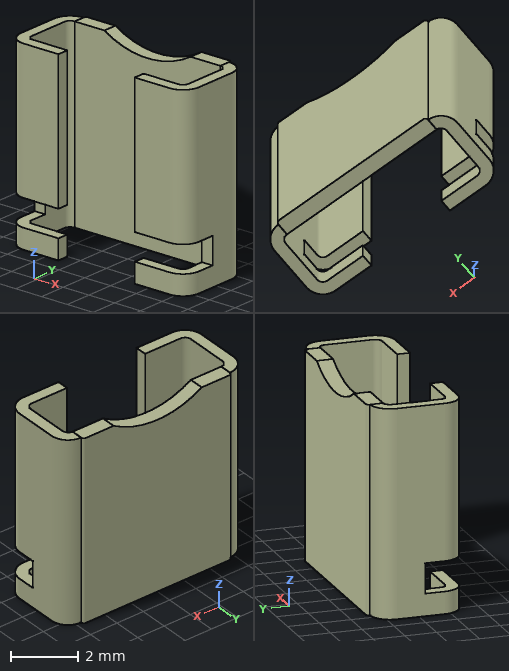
import cadquery as cq
import math

WIDTH = 6.91
DEPTH = 2.88
HEIGHT = 6.6

WALL = 0.415
BEND_RADIUS = 0.63
LIP_GAP = 2.96
SLOT_BOTTOM = 0.71
SLOT_TOP = 1.66
SLOT_DEPTH = 1.25

PLATE_STEP = 0.105
PLATE_CORNER_RADIUS = 0.1
SCOOP_WIDTH = 3.345
SCOOP_DEPTH = 0.47

FRONT_Y = -DEPTH / 2
PLATE_BACK_Y = DEPTH / 2
HOOK_BACK_Y = PLATE_BACK_Y - PLATE_STEP
PLATE_FRONT_Y = HOOK_BACK_Y - WALL
PLATE_HALF_WIDTH = WIDTH / 2 - BEND_RADIUS
INNER_RADIUS = BEND_RADIUS - WALL


def make_back_plate():
    """Flat plate with rounded rear edges and a shallow arc cut into its top."""
    plate = (
        cq.Workplane("XY")
        .center(0, (PLATE_FRONT_Y + PLATE_BACK_Y) / 2)
        .rect(2 * PLATE_HALF_WIDTH, PLATE_BACK_Y - PLATE_FRONT_Y)
        .extrude(HEIGHT)
        .edges("|Z and >Y")
        .fillet(PLATE_CORNER_RADIUS)
    )
    scoop = (
        cq.Workplane("XZ")
        .moveTo(-SCOOP_WIDTH / 2, HEIGHT)
        .threePointArc((0, HEIGHT - SCOOP_DEPTH), (SCOOP_WIDTH / 2, HEIGHT))
        .close()
        .extrude(DEPTH, both=True)
    )
    return plate.cut(scoop)


def make_left_hook():
    """Side wall bent at the back to meet the plate and at the front into a lip."""
    outer_x = -WIDTH / 2
    inner_x = outer_x + WALL
    bend_x = -PLATE_HALF_WIDTH
    lip_x = -LIP_GAP / 2
    front_bend_y = FRONT_Y + BEND_RADIUS
    back_bend_y = HOOK_BACK_Y - BEND_RADIUS
    outer_diagonal = BEND_RADIUS * math.sqrt(0.5)
    inner_diagonal = INNER_RADIUS * math.sqrt(0.5)

    hook = (
        cq.Workplane("XY")
        .moveTo(bend_x, HOOK_BACK_Y)
        .threePointArc((bend_x - outer_diagonal, back_bend_y + outer_diagonal), (outer_x, back_bend_y))
        .lineTo(outer_x, front_bend_y)
        .threePointArc((bend_x - outer_diagonal, front_bend_y - outer_diagonal), (bend_x, FRONT_Y))
        .lineTo(lip_x, FRONT_Y)
        .lineTo(lip_x, FRONT_Y + WALL)
        .lineTo(bend_x, FRONT_Y + WALL)
        .threePointArc((bend_x - inner_diagonal, front_bend_y - inner_diagonal), (inner_x, front_bend_y))
        .lineTo(inner_x, back_bend_y)
        .threePointArc((bend_x - inner_diagonal, back_bend_y + inner_diagonal), (bend_x, PLATE_FRONT_Y))
        .close()
        .extrude(HEIGHT)
    )

    slot = cq.Workplane("XY").box(
        WIDTH / 2, SLOT_DEPTH, SLOT_TOP - SLOT_BOTTOM, centered=False
    ).translate((outer_x, FRONT_Y, SLOT_BOTTOM))
    return hook.cut(slot)


def make_side_hook(side):
    """Hook for one side: -1 for left, +1 for right."""
    hook = make_left_hook()
    if side > 0:
        hook = hook.mirror("YZ")
    return hook


back_plate = make_back_plate()
side_hooks = [make_side_hook(side) for side in (-1, 1)]

result = cq.Compound.makeCompound([back_plate.val(), *[hook.val() for hook in side_hooks]])